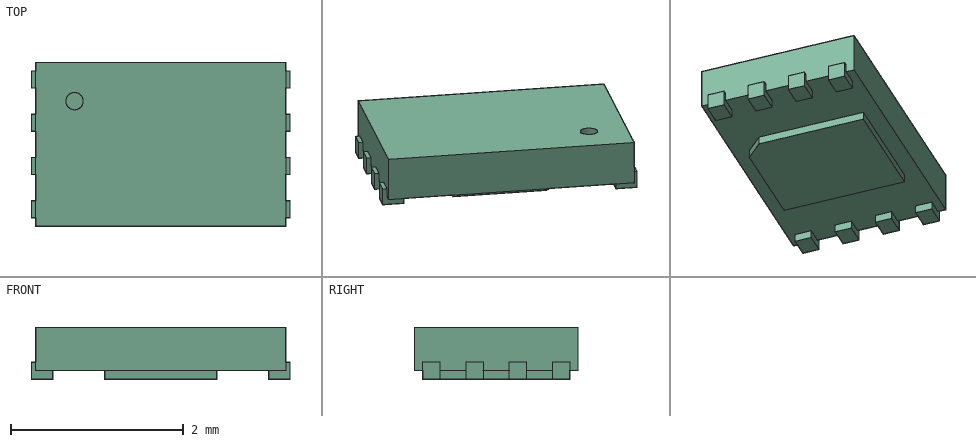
import cadquery as cq

overall_length = 3.0
overall_height = 0.6
body_width = 1.9
standoff = 0.1

lead_count = 4
lead_pitch = 0.5
lead_width = 0.2
lead_length = 0.25
lead_height = 2 * standoff
lead_overhang = 0.05

pad_length = 1.3
pad_width = 1.5
pad_chamfer = 0.2

marker_diameter = 0.2
marker_depth = 0.1
marker_x = -1.0
marker_y = lead_pitch

body_length = overall_length - 2 * lead_overhang
body_height = overall_height - standoff


def block(length, width, height, bottom=0.0):
    """Box centred on the Z axis, with its underside at the given height."""
    base = cq.Workplane("XY").workplane(offset=bottom)
    return base.box(length, width, height, centered=(True, True, False))


def make_body():
    body = block(body_length, body_width, body_height, standoff)
    marker = (
        cq.Workplane("XY")
        .workplane(offset=overall_height - marker_depth)
        .center(marker_x, marker_y)
        .circle(marker_diameter / 2)
        .extrude(marker_depth)
    )
    return body.cut(marker)


def make_thermal_pad():
    pad = block(pad_length, pad_width, standoff)
    return pad.edges("|Z and <X and >Y").chamfer(pad_chamfer)


def make_leads():
    lead_x = (overall_length - lead_length) / 2
    return (
        cq.Workplane("XY")
        .rarray(2 * lead_x, lead_pitch, 2, lead_count)
        .rect(lead_length, lead_width)
        .extrude(lead_height)
    )


result = make_body().union(make_thermal_pad()).union(make_leads())